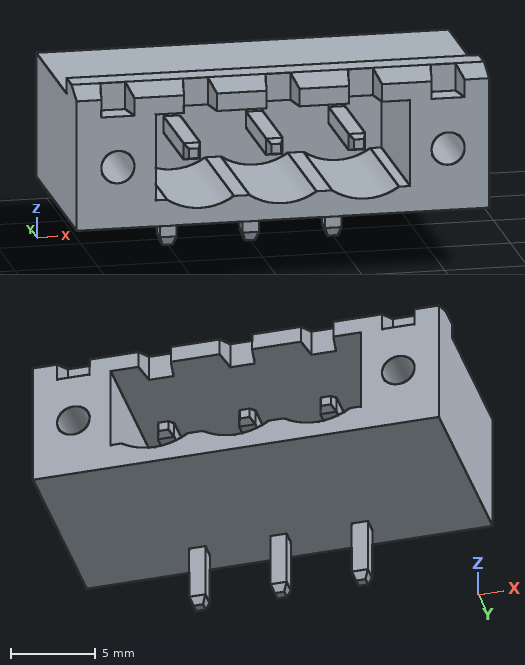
import cadquery as cq

PITCH = 5.0
PIN_COUNT = 3
HOUSING_WIDTH = (PIN_COUNT + 2) * PITCH
HOUSING_DEPTH = 12.0
HOUSING_HEIGHT = 8.6

REAR_ROOF_HEIGHT = 7.65
LIP_DEPTH = 3.0
LIP_BEVEL_DEPTH = 1.52
LIP_BEVEL_DROP = 0.6

CAVITY_WIDTH = 15.4
CAVITY_DEPTH = 8.5
CAVITY_ROOF = 6.92
CAVITY_FLOOR = 1.62
SCALLOP_BOTTOM = 1.0
SCALLOP_WIDTH = 4.05

NOTCH_FRONT_WIDTH = 2.0
NOTCH_BACK_WIDTH = 1.5
NOTCH_DEPTH = 1.5

AXIS_HEIGHT = 3.8
INSERT_DIAMETER = 4.0
INSERT_HOLE_DIAMETER = 2.0
INSERT_LENGTH = CAVITY_DEPTH

PIN_SIZE = 1.0
PIN_TIP_SIZE = 0.6
PIN_TIP_LENGTH = 0.55
PIN_FRONT = 2.0
TAIL_INSET = 2.0
TAIL_Y = HOUSING_DEPTH - TAIL_INSET
TAIL_LENGTH = 4.0

FLANGE_X = (PIN_COUNT + 1) * PITCH / 2
PIN_POSITIONS = [(i - (PIN_COUNT - 1) / 2) * PITCH for i in range(PIN_COUNT)]
FLANGE_POSITIONS = [-FLANGE_X, FLANGE_X]


def make_shell():
    """Block with a raised, bevelled lip along its front edge."""
    profile = [
        (0, 0),
        (HOUSING_DEPTH, 0),
        (HOUSING_DEPTH, REAR_ROOF_HEIGHT),
        (LIP_DEPTH, REAR_ROOF_HEIGHT),
        (LIP_DEPTH, HOUSING_HEIGHT),
        (LIP_BEVEL_DEPTH, HOUSING_HEIGHT),
        (0, HOUSING_HEIGHT - LIP_BEVEL_DROP),
    ]
    return cq.Workplane("YZ").polyline(profile).close().extrude(HOUSING_WIDTH / 2, both=True)


def make_cavity():
    """Mating cavity whose floor dips in an arc below every pin."""
    half_width = CAVITY_WIDTH / 2
    outline = cq.Workplane("XZ").moveTo(-half_width, CAVITY_ROOF).lineTo(-half_width, CAVITY_FLOOR)
    for x in PIN_POSITIONS:
        outline = outline.lineTo(x - SCALLOP_WIDTH / 2, CAVITY_FLOOR)
        outline = outline.threePointArc((x, SCALLOP_BOTTOM), (x + SCALLOP_WIDTH / 2, CAVITY_FLOOR))
    outline = outline.lineTo(half_width, CAVITY_FLOOR).lineTo(half_width, CAVITY_ROOF).close()
    return outline.extrude(-CAVITY_DEPTH)


def make_notch(x):
    """Coding notch that narrows towards the back."""
    plan = [
        (x - NOTCH_FRONT_WIDTH / 2, 0),
        (x + NOTCH_FRONT_WIDTH / 2, 0),
        (x + NOTCH_BACK_WIDTH / 2, NOTCH_DEPTH),
        (x - NOTCH_BACK_WIDTH / 2, NOTCH_DEPTH),
    ]
    floor = cq.Workplane("XY").workplane(offset=CAVITY_ROOF).polyline(plan).close()
    return floor.extrude(HOUSING_HEIGHT - CAVITY_ROOF)


def make_cylinder(x, diameter):
    """Cylinder running back from the front face on a flange axis."""
    return cq.Workplane("XZ").center(x, AXIS_HEIGHT).circle(diameter / 2).extrude(-INSERT_LENGTH)


def make_tip(workplane):
    """Square taper at the end of a pin, pointing along the workplane normal."""
    base = workplane.rect(PIN_SIZE, PIN_SIZE).workplane(offset=PIN_TIP_LENGTH)
    return base.rect(PIN_TIP_SIZE, PIN_TIP_SIZE).loft(combine=True)


def make_pin(x):
    """Pin that lies along y in the cavity and turns down into a solder tail."""
    contact_start = PIN_FRONT + PIN_TIP_LENGTH
    contact_length = TAIL_Y + PIN_SIZE / 2 - contact_start
    contact = cq.Workplane("XZ", origin=(x, contact_start, AXIS_HEIGHT))
    tail_end = PIN_TIP_LENGTH - TAIL_LENGTH
    tail = cq.Workplane("XY", origin=(x, TAIL_Y, tail_end))
    pin = contact.rect(PIN_SIZE, PIN_SIZE).extrude(-contact_length)
    pin = pin.union(tail.rect(PIN_SIZE, PIN_SIZE).extrude(AXIS_HEIGHT - tail_end))
    pin = pin.union(make_tip(contact))
    tail_down = cq.Workplane(cq.Plane(tail.plane.origin, (1, 0, 0), (0, 0, -1)))
    return pin.union(make_tip(tail_down))


housing = make_shell().cut(make_cavity())
for x in PIN_POSITIONS + FLANGE_POSITIONS:
    housing = housing.cut(make_notch(x))
for x in PIN_POSITIONS:
    housing = housing.union(make_pin(x))
for x in FLANGE_POSITIONS:
    housing = housing.cut(make_cylinder(x, INSERT_HOLE_DIAMETER))

for x in FLANGE_POSITIONS:
    insert = make_cylinder(x, INSERT_DIAMETER).cut(make_cylinder(x, INSERT_HOLE_DIAMETER))
    housing = housing.union(insert, clean=False)

result = housing